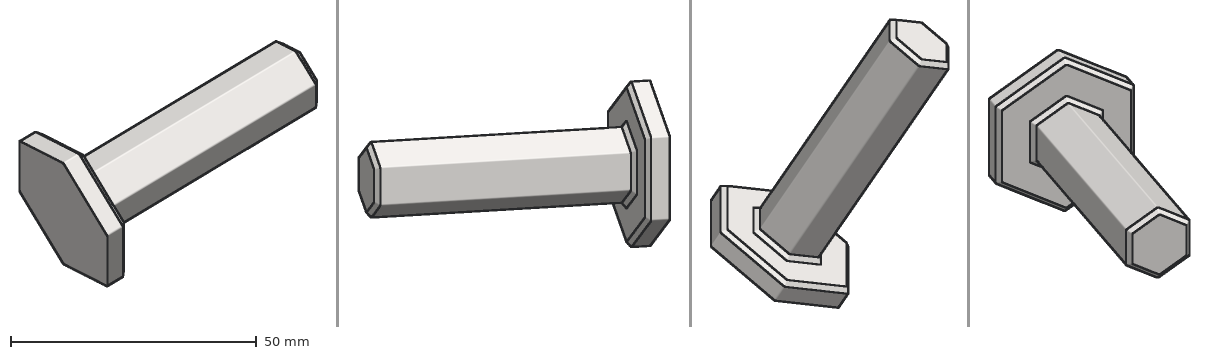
import cadquery as cq
import math

total_length = 60.0
head_width = 30.0
head_thickness = 5.0
shank_width = 13.8
bevel = 1.0
edge_radius = 0.5

BEVEL_ANGLE = 45.0
FLATS_TO_CORNERS = 2 / math.sqrt(3)


def hexagon(width, start):
    """Hexagon across flats along X, with corners on the Z axis, at Y = start."""
    plane = cq.Plane(origin=(0, start, 0), xDir=(0, 0, 1), normal=(0, 1, 0))
    return cq.Workplane(plane).polygon(6, width * FLATS_TO_CORNERS)


def rounded_prism(width, start, length):
    return hexagon(width, start).extrude(length).edges("|Y").fillet(edge_radius)


def rounded_frustum(base_width, start, length):
    """Hexagon narrowing along +Y at the bevel angle, with rounded ridges."""
    frustum = hexagon(base_width, start).extrude(length, taper=BEVEL_ANGLE)
    ridges = frustum.edges().edges("not(#Y)")
    return frustum.newObject(ridges.vals()).fillet(edge_radius)


def bevelled_prism(width, start, end):
    """Rounded hexagonal bar with a bevel around its +Y end."""
    bevel_start = end - bevel
    body = rounded_prism(width, start, bevel_start - start)
    tip = rounded_prism(width, bevel_start, bevel)
    tip = tip.intersect(rounded_frustum(width, bevel_start, bevel))
    return body.union(tip)


head = bevelled_prism(head_width, 0, head_thickness)
shank = bevelled_prism(shank_width, head_thickness, total_length)

neck = rounded_frustum(shank_width + 2 * bevel, head_thickness, bevel)

result = head.union(shank).union(neck)